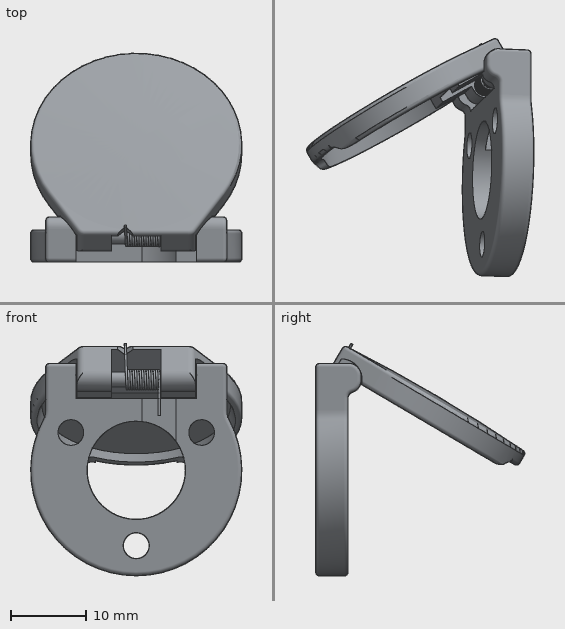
import cadquery as cq
import math


disc_radius = 14.0
edge_fillet = 0.5
hinge_y = 3.4
hinge_z = 12.0
open_angle = 30.5

base_thickness = 4.3
bore_radius = 6.5
screw_hole_radius = 1.7
screw_circle_radius = 10.0
screw_hole_angles = (30, 150, 270)
lug_half_width = 12.0
lug_top_z = 14.16
lug_back_y = 6.0
lug_round = 1.6
lug_flat_bottom_z = 11.85
lug_root_round = 0.8
waist_round = 2.5
lug_gap_half_width = 8.0
lug_gap_bottom_z = 9.5
spring_slot_left_x = 0.75
spring_slot_width = 4.5
spring_slot_depth = 2.8

lid_centre = hinge_z
lid_bottom = 0.8
lid_top = 4.15
dome_height = 0.42
tab_half_width = 7.85
tab_front = -2.0
tab_corner_x = 7.45
tab_corner_round = 1.0
knuckle_radius = 1.75
knuckle_centre_height = 0.1
hinge_block_back = 6.0
recess_mouth_radius = 13.15
recess_top_radius = 12.5
recess_top = 3.05
lip_height = 1.95
lip_half_width = 5.4
lip_blend_width = 2.6
lug_clearance_radius = 2.75
window_half_width = 3.25
window_front_top = 3.5
window_slope = 14.0
leg_notch_x = -1.45
leg_notch_depth = 1.05
pin_radius = 1.0

wire_radius = 0.15
joint_radius = 0.16
coil_radius = 1.2
coil_start_x = -1.3
coil_end_x = 3.06
whole_turns = 14
base_leg_bottom_z = 7.25
lid_leg_length = 4.78


def side_profile(points):
    """Closed polygon on the YZ plane."""
    return cq.Workplane("YZ").polyline(points).close()


def base_outline():
    """Disc with a straight-sided head and concave waist, extruded from the front face to the lug backs."""
    waist_z = math.sqrt((disc_radius + waist_round) ** 2 - (lug_half_width + waist_round) ** 2)
    share = disc_radius / (disc_radius + waist_round)
    touch_x = share * (lug_half_width + waist_round)
    touch_z = share * waist_z
    return (
        cq.Workplane("XZ")
        .moveTo(-lug_half_width, lug_top_z)
        .lineTo(lug_half_width, lug_top_z)
        .lineTo(lug_half_width, waist_z)
        .tangentArcPoint((touch_x, touch_z), relative=False)
        .threePointArc((0, -disc_radius), (-touch_x, touch_z))
        .tangentArcPoint((-lug_half_width, waist_z), relative=False)
        .close()
        .extrude(-lug_back_y)
    )


def base_profile():
    """Side profile of the base: thin disc below, thicker rounded lugs on top."""
    round_y = lug_back_y - lug_round
    root_y = base_thickness + lug_root_round
    reach = lug_round + lug_root_round
    root_z = lug_flat_bottom_z - math.sqrt(reach ** 2 - (root_y - round_y) ** 2)
    share = lug_round / reach
    blend_y = round_y + share * (root_y - round_y)
    blend_z = lug_flat_bottom_z + share * (root_z - lug_flat_bottom_z)
    return (
        cq.Workplane("YZ")
        .moveTo(0, -lug_top_z)
        .lineTo(0, lug_top_z)
        .lineTo(round_y, lug_top_z)
        .tangentArcPoint((lug_back_y, lug_top_z - lug_round), relative=False)
        .lineTo(lug_back_y, lug_flat_bottom_z)
        .tangentArcPoint((blend_y, blend_z), relative=False)
        .tangentArcPoint((base_thickness, root_z), relative=False)
        .lineTo(base_thickness, -lug_top_z)
        .close()
        .extrude(disc_radius, both=True)
    )


def make_base():
    """Ring with two lugs, a gap for the lid knuckle, a slot for the spring leg and screw holes."""
    base = base_outline().intersect(base_profile())
    front_edges = base.faces("<Y").edges()
    side_edges = base.edges("not (|X or |Y)")
    top_edges = base.edges("|Y and >Z")
    base = front_edges.add(side_edges).add(top_edges).fillet(edge_fillet)
    gap = cq.Workplane("XY").box(
        2 * lug_gap_half_width, 2 * lug_back_y, lug_top_z, centered=(True, True, False)
    ).translate((0, 0, lug_gap_bottom_z))
    slot = cq.Workplane("XY").box(
        spring_slot_width, spring_slot_depth, lug_gap_bottom_z, centered=False
    ).translate((spring_slot_left_x, 0, 0))
    holes = cq.Workplane("XZ").circle(bore_radius).extrude(-base_thickness)
    for angle in screw_hole_angles:
        x = screw_circle_radius * math.cos(math.radians(angle))
        z = screw_circle_radius * math.sin(math.radians(angle))
        holes = holes.union(
            cq.Workplane("XZ").center(x, z).circle(screw_hole_radius).extrude(-base_thickness))
    return base.cut(gap).cut(slot).cut(holes)


def lid_outline(bottom, top):
    """Teardrop plan: round disc joined by tangent lines to the narrow hinge tab."""
    run = lid_centre - tab_front
    distance = math.hypot(tab_corner_x, run)
    tangent = math.atan2(run, tab_corner_x) - math.acos(disc_radius / distance)
    touch_x = disc_radius * math.cos(tangent)
    touch_y = lid_centre - disc_radius * math.sin(tangent)
    return (
        cq.Workplane("XY", origin=(0, 0, bottom))
        .moveTo(-tab_corner_x, tab_front)
        .lineTo(tab_corner_x, tab_front)
        .lineTo(touch_x, touch_y)
        .threePointArc((0, lid_centre + disc_radius), (-touch_x, touch_y))
        .close()
        .extrude(top - bottom)
        .edges("|Z and <Y").fillet(tab_corner_round)
    )


def finger_notch():
    """Relief under the far rim, blended into the full rim by S-curves."""
    half_run = lip_half_width + lip_blend_width / 2
    full_run = lip_half_width + lip_blend_width
    mid_height = (lid_bottom + lip_height) / 2
    half = (
        cq.Workplane("XZ", origin=(0, lid_centre, 0))
        .moveTo(0, lip_height)
        .lineTo(lip_half_width, lip_height)
        .tangentArcPoint((half_run, mid_height), relative=False)
        .tangentArcPoint((full_run, lid_bottom), relative=False)
        .lineTo(full_run, 0)
        .lineTo(0, 0)
        .close()
        .extrude(-2 * disc_radius)
    )
    return half.union(half.mirror("YZ"))


def dome():
    """Shallow spherical cap on the outer face, ending where the edge fillet starts."""
    cap_radius = disc_radius - edge_fillet
    sphere_radius = (cap_radius ** 2 + dome_height ** 2) / (2 * dome_height)
    sphere = cq.Workplane("XY").sphere(sphere_radius).translate(
        (0, lid_centre, lid_top + dome_height - sphere_radius))
    puck = (
        cq.Workplane("XY", origin=(0, lid_centre, recess_top + edge_fillet))
        .circle(cap_radius)
        .extrude(lid_top + dome_height - recess_top)
    )
    return puck.intersect(sphere)


def recess():
    """Drafted round recess in the underside, stopping short of the hinge."""
    cone = (
        cq.Workplane("XY", origin=(0, lid_centre, lid_bottom))
        .circle(recess_mouth_radius)
        .workplane(offset=recess_top - lid_bottom).circle(recess_top_radius)
        .loft()
    )
    hinge_block = cq.Workplane("XY").box(
        2 * tab_half_width, 2 * hinge_block_back, 2 * lid_top)
    return cone.cut(hinge_block)


def hinge_tab():
    """Full-width knuckle under the hinge end, trimmed to the rounded corners of the plan."""
    knuckle_y = tab_front + knuckle_radius
    profile = (
        cq.Workplane("YZ")
        .moveTo(tab_front, lid_top - edge_fillet)
        .lineTo(tab_front, knuckle_centre_height)
        .threePointArc(
            (knuckle_y, knuckle_centre_height - knuckle_radius),
            (knuckle_y + knuckle_radius, knuckle_centre_height))
        .lineTo(knuckle_y + knuckle_radius, lid_top - edge_fillet)
        .close()
        .extrude(tab_half_width, both=True)
    )
    return profile.intersect(lid_outline(-2 * knuckle_radius, lid_top))


def make_lid():
    """Domed lid with a hollow underside, a finger notch, and a hinge tab carrying the pin."""
    full_plate = lid_outline(lid_bottom, lid_top).faces("<Z or >Z").edges().fillet(edge_fillet)
    thin_plate = lid_outline(lip_height, lid_top).faces("<Z or >Z").edges().fillet(edge_fillet)
    lip_zone = cq.Workplane("XY", origin=(0, lid_centre, lip_height)).box(
        2 * lip_half_width, 2 * disc_radius, 2 * edge_fillet, centered=(True, False, False))
    lip = thin_plate.intersect(lip_zone)
    plate = full_plate.cut(finger_notch()).cut(lip_zone).union(lip)
    plate = plate.cut(recess()).union(dome())
    for side in (-1, 1):
        clearance = (
            cq.Workplane("YZ").circle(lug_clearance_radius).extrude(side * disc_radius)
            .translate((side * tab_half_width, 0, 0))
        )
        plate = plate.cut(clearance)

    roof_drop = (hinge_block_back - tab_front) * math.tan(math.radians(window_slope))
    window = side_profile([
        (tab_front, -disc_radius),
        (tab_front, window_front_top),
        (hinge_block_back, window_front_top - roof_drop),
        (hinge_block_back, -disc_radius),
    ]).extrude(window_half_width, both=True)
    leg_notch = (
        cq.Workplane("XY")
        .polyline([
            (leg_notch_x - leg_notch_depth, tab_front),
            (leg_notch_x + leg_notch_depth, tab_front),
            (leg_notch_x, tab_front + leg_notch_depth),
        ])
        .close()
        .extrude(lid_top + dome_height)
    )
    pin = cq.Workplane("YZ").circle(pin_radius).extrude(window_half_width, both=True)
    lid = plate.union(hinge_tab()).cut(window).cut(leg_notch).union(pin)
    return lid.rotate((0, 0, 0), (1, 0, 0), -open_angle).translate((0, hinge_y, hinge_z))


def straight_leg(start, direction, length):
    """Round wire from a start point, with a ball over the bend into the coil."""
    leg = cq.Workplane(cq.Plane(start, normal=direction)).circle(wire_radius).extrude(length)
    ball = cq.Workplane("XY").sphere(joint_radius).translate(start)
    return leg.union(ball)


def make_spring():
    """Open-wound coil with one straight leg up past the lid and one down the base slot."""
    turns = whole_turns + open_angle / 360
    length = coil_end_x - coil_start_x
    helix = cq.Wire.makeHelix(length / turns, length, coil_radius)
    coil = cq.Workplane("XZ").center(coil_radius, 0).circle(wire_radius).sweep(
        cq.Workplane(helix), isFrenet=True)

    lid_leg = straight_leg(
        cq.Vector(coil_radius, 0, 0),
        cq.Vector(0, -lid_leg_length, leg_notch_x - coil_start_x),
        lid_leg_length)
    end_angle = math.radians(open_angle)
    base_leg = straight_leg(
        cq.Vector(coil_radius * math.cos(end_angle), coil_radius * math.sin(end_angle), length),
        cq.Vector(-math.sin(end_angle), math.cos(end_angle), 0),
        hinge_z - base_leg_bottom_z)
    spring = coil.union(lid_leg).union(base_leg)

    return (
        spring
        .rotate((0, 0, 0), (0, 1, 0), 90)
        .rotate((0, 0, 0), (1, 0, 0), -90 - open_angle)
        .translate((coil_start_x, hinge_y, hinge_z))
    )


base = make_base()
lid = make_lid()
spring = make_spring()
result = cq.Compound.makeCompound([base.val(), lid.val(), spring.val()])